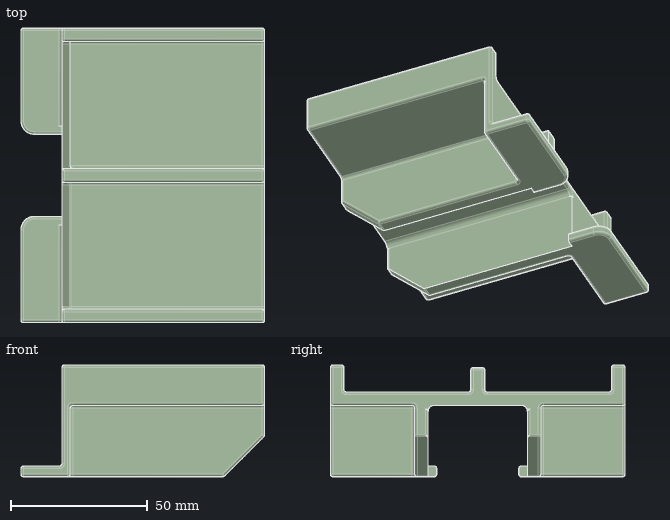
import cadquery as cq

LENGTH = 89.0
WIDTH = 107.6
HEIGHT = 40.9

ROUND = 1.0
WALL = 5.0

FOOT_LENGTH = 15.0
FOOT_HEIGHT = 4.0
FOOT_CORNER = 5.0
FOOT_OVERHANG = 3.1
PLATE_THICKNESS = 3.0

DECK_BOTTOM = 26.0
LEAD_IN = 3.0
DIVIDER_TOP = 39.9
DIVIDER_WIDTH = 5.2

OPENING_WIDTH = 36.2
OPENING_CORNER = 2.0
BEVEL = 15.0

HALF_WIDTH = WIDTH / 2
PLATE_X = FOOT_LENGTH
PLATE_BACK = PLATE_X + PLATE_THICKNESS
DECK_TOP = DECK_BOTTOM + WALL
RAIL_INNER = HALF_WIDTH - WALL
HALF_DIVIDER = DIVIDER_WIDTH / 2
HALF_OPENING = OPENING_WIDTH / 2
RIB_OUTER = HALF_OPENING + WALL
FOOT_INNER = HALF_OPENING - FOOT_OVERHANG
CLEAR = 1.1
TOL = 0.01


def block(x, y, z):
    """Box from (min, max) ranges along X, Y and Z."""
    size = [high - low for low, high in (x, y, z)]
    return cq.Workplane("XY").box(*size, centered=False).translate((x[0], y[0], z[0]))


def mirrored(solid):
    """Solid joined with its mirror image across the Y = 0 plane."""
    return solid.union(solid.mirror("XZ"))


def round_edges(solid, wanted):
    """Round every edge whose bounding box satisfies the given test."""
    edges = [edge for edge in solid.edges().vals() if wanted(edge.BoundingBox())]
    return solid.newObject(edges).fillet(ROUND)


def near(value, target):
    return abs(value - target) < TOL


def flat_x(box, x):
    return near(box.xmin, x) and near(box.xmax, x)


def flat_z(box, z):
    return near(box.zmin, z) and near(box.zmax, z)


def flat_side(box, y):
    """Edge lies in the plane at distance y on either side of the middle."""
    return any(near(box.ymin, side) and near(box.ymax, side) for side in (-y, y))


def reach(box):
    """Greatest distance from the Y = 0 plane."""
    return max(-box.ymin, box.ymax)


def make_body():
    """Deck, rails, divider, front plate and one wide block for the ribs."""
    deck = block((PLATE_X, LENGTH), (-HALF_WIDTH, HALF_WIDTH), (DECK_BOTTOM, DECK_TOP))
    deck = deck.faces("<X").edges(">Z").chamfer(LEAD_IN)
    plate = block((PLATE_X, PLATE_BACK), (-HALF_WIDTH, HALF_WIDTH), (0, DECK_BOTTOM))
    rail = block((PLATE_X, LENGTH), (RAIL_INNER, HALF_WIDTH), (DECK_BOTTOM, HEIGHT))
    divider = block((PLATE_X, LENGTH), (-HALF_DIVIDER, HALF_DIVIDER), (DECK_BOTTOM, DIVIDER_TOP))
    ribs = block((PLATE_X, LENGTH), (-RIB_OUTER, RIB_OUTER), (0, DECK_BOTTOM))
    ribs = ribs.faces(">X").edges("<Z").chamfer(BEVEL)
    return deck.union(plate).union(mirrored(rail)).union(divider).union(ribs)


def make_foot():
    foot = block((0, FOOT_LENGTH), (FOOT_INNER, HALF_WIDTH), (0, FOOT_HEIGHT))
    return foot.edges("|Z and <X and <Y").fillet(FOOT_CORNER)


def make_sharp_front():
    """Front post of the divider and lower lip of the -Y lead-in chamfer, which keep square edges."""
    post_z = (DECK_BOTTOM + ROUND, DIVIDER_TOP - ROUND)
    post = block((PLATE_X, PLATE_X + ROUND), (-HALF_DIVIDER, HALF_DIVIDER), post_z)
    half_lead = LEAD_IN / 2
    lip_z = (DECK_BOTTOM + ROUND, DECK_TOP - half_lead)
    lip = block((PLATE_X, PLATE_X + LEAD_IN), (ROUND - RAIL_INNER, -HALF_DIVIDER), lip_z)
    lip = lip.edges("|Y and <X and >Z").chamfer(half_lead)
    return post.union(lip)


def make_opening():
    """Cutter for the opening, with rounded upper corners and a rounded front rim at its top."""
    through = block((PLATE_X, LENGTH + CLEAR), (-HALF_OPENING, HALF_OPENING), (-CLEAR, DECK_BOTTOM))
    through = through.edges("|X and >Z").fillet(OPENING_CORNER)
    rim_size = 2 * ROUND
    half_rim = HALF_OPENING + rim_size
    rim_z = (DECK_BOTTOM - OPENING_CORNER, DECK_BOTTOM + rim_size)
    rim = block((PLATE_X, PLATE_X + rim_size), (-half_rim, half_rim), rim_z)

    def front_rim(box):
        within_opening = box.zmax < DECK_BOTTOM + TOL and reach(box) < HALF_OPENING + TOL
        return flat_x(box, PLATE_X) and within_opening

    rounded_rim = round_edges(rim.cut(through), front_rim)
    return through.union(rim.cut(rounded_rim))


def left_floor_edge(box):
    """Upper edge of the lead-in chamfer in the -Y bay."""
    return flat_x(box, PLATE_X + LEAD_IN) and flat_z(box, DECK_TOP) and box.ymax < 0


def bay_corner(box):
    """Concave corners where the rails and the divider rise from the deck."""
    along_divider = flat_z(box, DECK_TOP) and flat_side(box, HALF_DIVIDER)
    along_rail = flat_side(box, RAIL_INNER) and box.zmax < DECK_TOP + TOL
    return along_divider or along_rail


def pocket_corner(box):
    """Concave corners between the plate, the deck and the outer face of each rib."""
    under_deck = flat_z(box, DECK_BOTTOM)
    behind_plate = flat_x(box, PLATE_BACK)
    at_rib = flat_side(box, RIB_OUTER)
    return [under_deck, behind_plate, at_rib].count(True) == 2


def foot_corner(box):
    """Concave corner where each foot meets the plate."""
    reaches_side = reach(box) > HALF_WIDTH - TOL
    return reaches_side and flat_x(box, PLATE_X) and flat_z(box, FOOT_HEIGHT)


def outer_edge(box):
    """Convex outer edges that carry the general edge round."""
    side = flat_side(box, HALF_WIDTH)
    top = flat_z(box, HEIGHT) or flat_z(box, DIVIDER_TOP)
    rear = flat_x(box, LENGTH)
    rail_front = flat_x(box, PLATE_X) and flat_side(box, RAIL_INNER)
    right_floor_front = flat_x(box, PLATE_X) and flat_z(box, DECK_TOP - LEAD_IN) and box.ymin > 0
    at_wall = flat_x(box, PLATE_BACK) or flat_x(box, PLATE_X) or flat_side(box, HALF_OPENING)
    underside = flat_z(box, 0) and not at_wall
    foot_front = flat_z(box, FOOT_HEIGHT) and box.xmax < FOOT_CORNER + TOL
    foot_inner = flat_z(box, FOOT_HEIGHT) and flat_side(box, FOOT_INNER)
    bevel = flat_side(box, RIB_OUTER) and near(box.xmin, LENGTH - BEVEL) and near(box.zmax, BEVEL)
    return any((side, top, rear, rail_front, right_floor_front, underside, foot_front, foot_inner, bevel))


plain_opening = block((PLATE_X, LENGTH), (-HALF_OPENING, HALF_OPENING), (0, DECK_BOTTOM - OPENING_CORNER))
result = make_body().union(mirrored(make_foot())).cut(plain_opening)
for edge_group in (left_floor_edge, bay_corner, pocket_corner, foot_corner, outer_edge):
    result = round_edges(result, edge_group)
result = result.union(make_sharp_front()).cut(make_opening())